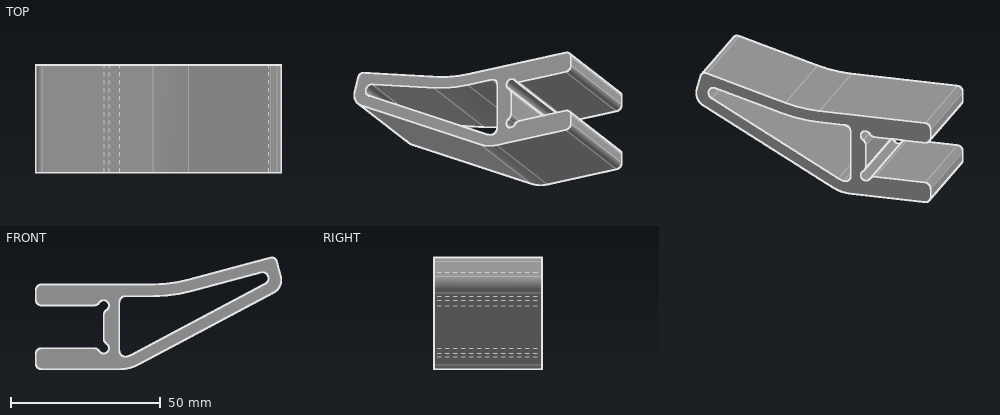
import cadquery as cq
import math

width = 36.12

fork_height = 28.4
arm_thickness = 7.1
slot_depth = 22.7
web_thickness = 5.3
arm_end_radius = 2.0

relief_radius = 1.75
relief_blend_radius = 2.0

wall_thickness = 4.0
upper_angle = 15.0
lower_angle = 28.0
upper_bend_x = 45.1
lower_bend_x = 31.35
upper_bend_radius = 46.0
lower_bend_radius = 13.0
upper_wall_length = 36.25
tip_upper_radius = 1.75
tip_lower_radius = 4.8

hollow_tip_radius = 2.0
hollow_corner_radius = 2.0


def unit(start, end):
    """Unit vector pointing from start to end."""
    length = math.dist(start, end)
    return ((end[0] - start[0]) / length, (end[1] - start[1]) / length)


def along(point, direction, distance):
    """Point reached by moving a distance from point in a direction."""
    return (point[0] + direction[0] * distance, point[1] + direction[1] * distance)


def direction_at(angle):
    """Unit vector at an angle in degrees above +X."""
    return (math.cos(math.radians(angle)), math.sin(math.radians(angle)))


def meeting_point(point_a, angle_a, point_b, angle_b):
    """Intersection of two lines, each given by a point and an angle."""
    dir_a = direction_at(angle_a)
    dir_b = direction_at(angle_b)
    gap_x = point_b[0] - point_a[0]
    gap_z = point_b[1] - point_a[1]
    distance = (gap_x * dir_b[1] - gap_z * dir_b[0]) / (dir_a[0] * dir_b[1] - dir_a[1] * dir_b[0])
    return along(point_a, dir_a, distance)


def corner_points(previous, corner, following, radius):
    """Start, middle and end of the arc that rounds a corner."""
    to_previous = unit(corner, previous)
    to_following = unit(corner, following)
    cosine = to_previous[0] * to_following[0] + to_previous[1] * to_following[1]
    half_angle = math.acos(cosine) / 2
    setback = radius / math.tan(half_angle)
    start = along(corner, to_previous, setback)
    end = along(corner, to_following, setback)
    chord_middle = ((start[0] + end[0]) / 2, (start[1] + end[1]) / 2)
    middle = along(corner, unit(corner, chord_middle), radius / math.sin(half_angle) - radius)
    return start, middle, end


def rounded_prism(corners):
    """Extrude a closed outline of (point, radius) corners over the full width.

    The first corner must be sharp (radius 0).
    """
    first_point = corners[0][0]
    sketch = cq.Workplane("XZ").moveTo(*first_point)
    for index in range(1, len(corners)):
        point, radius = corners[index]
        if radius == 0:
            sketch = sketch.lineTo(*point)
            continue
        previous = corners[index - 1][0]
        following = corners[(index + 1) % len(corners)][0]
        start, middle, end = corner_points(previous, point, following, radius)
        sketch = sketch.lineTo(*start).threePointArc(middle, end)
    return sketch.close().extrude(width / 2, both=True)


slot_bottom = arm_thickness
slot_top = fork_height - arm_thickness
upper_bend = (upper_bend_x, fork_height)
lower_bend = (lower_bend_x, 0)


def make_body():
    """Solid fork and handle, with the slot open at X = 0."""
    tip_upper = along(upper_bend, direction_at(upper_angle), upper_wall_length)
    tip_lower = meeting_point(tip_upper, upper_angle - 90, lower_bend, lower_angle)
    return rounded_prism([
        ((slot_depth, slot_top), 0),
        ((slot_depth, slot_bottom), 0),
        ((0, slot_bottom), arm_end_radius),
        ((0, 0), arm_end_radius),
        (lower_bend, lower_bend_radius),
        (tip_lower, tip_lower_radius),
        (tip_upper, tip_upper_radius),
        (upper_bend, upper_bend_radius),
        ((0, fork_height), arm_end_radius),
        ((0, slot_top), arm_end_radius),
    ])


def make_hollow():
    """Space between the handle walls, from the web to the rounded tip."""
    upper_shift = wall_thickness * math.tan(math.radians(upper_angle / 2))
    lower_shift = wall_thickness * math.tan(math.radians(lower_angle / 2))
    upper_corner = (upper_bend_x + upper_shift, fork_height - wall_thickness)
    lower_corner = (lower_bend_x - lower_shift, wall_thickness)
    tip = meeting_point(upper_corner, upper_angle, lower_corner, lower_angle)
    hollow = rounded_prism([
        ((0, fork_height - wall_thickness), 0),
        ((0, wall_thickness), 0),
        (lower_corner, lower_bend_radius - wall_thickness),
        (tip, hollow_tip_radius),
        (upper_corner, upper_bend_radius + wall_thickness),
    ])
    web_back = slot_depth + web_thickness
    fork_space = cq.Workplane("XY").box(2 * web_back, width, 2 * fork_height)
    hollow = hollow.cut(fork_space)
    return hollow.faces("<X").edges("|Y").fillet(hollow_corner_radius)


def cut_reliefs(body):
    """Round out both slot corners and blend the reliefs into web and arms."""
    corners = [(slot_depth, slot_bottom), (slot_depth, slot_top)]
    reliefs = cq.Workplane("XZ").pushPoints(corners).circle(relief_radius).extrude(width / 2, both=True)
    body = body.cut(reliefs)
    rims = [
        (slot_depth - relief_radius, slot_bottom),
        (slot_depth, slot_bottom + relief_radius),
        (slot_depth, slot_top - relief_radius),
        (slot_depth - relief_radius, slot_top),
    ]
    for x, z in rims:
        rim = body.edges(cq.selectors.NearestToPointSelector((x, 0, z)))
        body = rim.fillet(relief_blend_radius)
    return body


result = cut_reliefs(make_body()).cut(make_hollow())